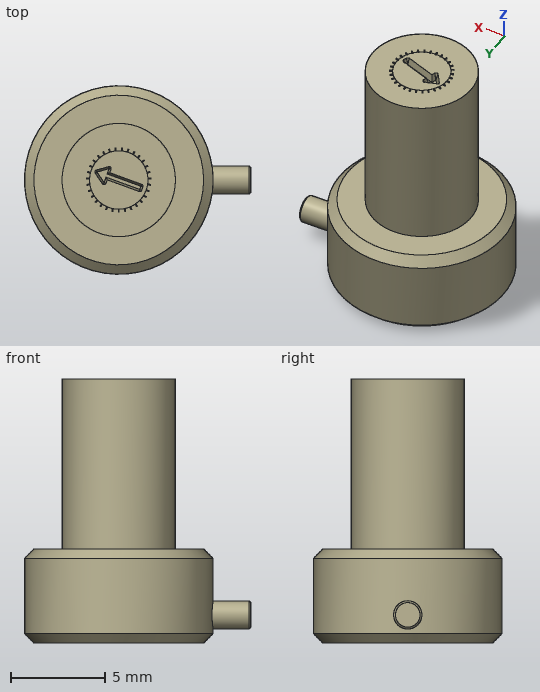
import cadquery as cq

total_height = 14.0
flange_diameter = 10.0
flange_height = 5.0
flange_chamfer = 0.5
stem_diameter = 6.0

dial_diameter = 3.1

day_count = 31
first_day_angle = -90.0
mark_length = 0.15
mark_width = 0.05
mark_depth = 0.05

arrow_angle = 160.0
arrow_tip = 1.23
arrow_tail = -1.22
arrow_head_base = 0.69
arrow_head_half_width = 0.39
arrow_shaft_half_width = 0.091
arrow_depth = 0.4
arrow_wall_slope = 15.0

pin_diameter = 1.5
pin_chamfer = 0.1
pin_height = pin_diameter
pin_reach = 7.0
pin_seat_depth = 2.0


def make_pin():
    inner_end = flange_diameter / 2 - pin_seat_depth
    return (
        cq.Workplane("YZ", origin=(inner_end, 0, pin_height))
        .circle(pin_diameter / 2)
        .extrude(pin_reach - inner_end)
        .faces(">X")
        .chamfer(pin_chamfer)
    )


def make_arrow_pocket():
    head_and_shaft = [
        (arrow_tip, 0),
        (arrow_head_base, arrow_head_half_width),
        (arrow_head_base, arrow_shaft_half_width),
        (arrow_tail, arrow_shaft_half_width),
        (arrow_tail, -arrow_shaft_half_width),
        (arrow_head_base, -arrow_shaft_half_width),
        (arrow_head_base, -arrow_head_half_width),
    ]
    return (
        cq.Workplane("XY", origin=(0, 0, total_height - arrow_depth))
        .polyline(head_and_shaft)
        .close()
        .extrude(arrow_depth, taper=-arrow_wall_slope)
        .rotate((0, 0, 0), (0, 0, 1), arrow_angle)
    )


def make_core():
    return cq.Workplane("XY").circle(dial_diameter / 2).extrude(total_height)


def make_dial():
    return make_core().cut(make_arrow_pocket())


def make_day_marks():
    inner_radius = dial_diameter / 2
    overlap = inner_radius / 2
    middle_radius = inner_radius + (mark_length - overlap) / 2
    full_turn = 360
    return (
        cq.Workplane("XY", origin=(0, 0, total_height - mark_depth))
        .polarArray(middle_radius, first_day_angle, full_turn, day_count)
        .rect(mark_length + overlap, mark_width)
        .extrude(mark_depth, combine=False)
    )


def make_housing(pin):
    flange = (
        cq.Workplane("XY")
        .circle(flange_diameter / 2)
        .extrude(flange_height)
        .edges("%CIRCLE")
        .chamfer(flange_chamfer)
    )
    stem = cq.Workplane("XY").circle(stem_diameter / 2).extrude(total_height)
    body = flange.union(stem).cut(make_core()).cut(pin)
    for mark in make_day_marks().vals():
        body = body.cut(cq.Workplane(mark))
    return body


locating_pin = make_pin()
dial = make_dial()
housing = make_housing(locating_pin)

result = cq.Compound.makeCompound([housing.val(), dial.val(), locating_pin.val()])